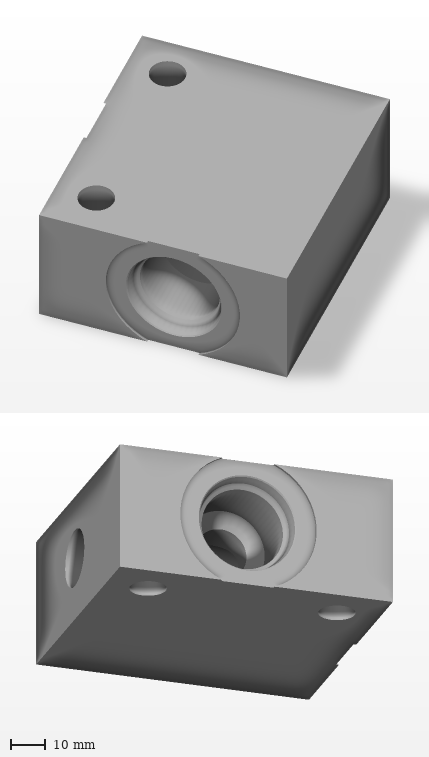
import cadquery as cq
import math

LENGTH_X = 76.2
LENGTH_Y = 82.55
HEIGHT = 38.1
MID_Z = HEIGHT / 2

MOUNT_DIAMETER = 10.8
MOUNT_INSET = 12.7

FRONT_PORT_X = 41.1
SIDE_PORT_Y = 43.7
SPOTFACE_DIAMETER = 41.3
SPOTFACE_DEPTH = 0.8
MOUTH_DIAMETER = 29.55
LIP_DIAMETER = 28.9
LIP_DEPTH = 0.3
SEAT_DIAMETER = 27.4
SEAT_DEPTH = 3.5
THREAD_DIAMETER = 24.6
THREAD_START = 4.9
THREAD_DEPTH = 21.5
DRILL_POINT_ANGLE = 118

FRONT_BORE_DIAMETER = 17.3
SIDE_BORE_DIAMETER = 15.4


def port_cutter(bore_diameter, bore_depth):
    """Stepped port around the Z axis, entering at Z = 0 and running towards +Z."""
    cone_height = (THREAD_DIAMETER - bore_diameter) / 2 / math.tan(math.radians(DRILL_POINT_ANGLE / 2))
    stations = [
        (MOUTH_DIAMETER, 0),
        (LIP_DIAMETER, LIP_DEPTH),
        (SEAT_DIAMETER, SEAT_DEPTH),
        (THREAD_DIAMETER, THREAD_START),
        (THREAD_DIAMETER, THREAD_DEPTH),
        (bore_diameter, THREAD_DEPTH + cone_height),
    ]
    profile = [(0, 0), (SPOTFACE_DIAMETER / 2, 0), (SPOTFACE_DIAMETER / 2, SPOTFACE_DEPTH)]
    profile += [(diameter / 2, SPOTFACE_DEPTH + depth) for diameter, depth in stations]
    profile += [(bore_diameter / 2, bore_depth), (0, bore_depth)]
    return cq.Workplane("XZ").polyline(profile).close().revolve(360, (0, 0), (0, 1))


block = cq.Workplane("XY").box(LENGTH_X, LENGTH_Y, HEIGHT, centered=False)

mount_holes = (
    cq.Workplane("XY")
    .pushPoints([(MOUNT_INSET, MOUNT_INSET), (MOUNT_INSET, LENGTH_Y - MOUNT_INSET)])
    .circle(MOUNT_DIAMETER / 2)
    .extrude(HEIGHT)
)

front_port = (
    port_cutter(FRONT_BORE_DIAMETER, LENGTH_Y)
    .rotate((0, 0, 0), (1, 0, 0), -90)
    .translate((FRONT_PORT_X, 0, MID_Z))
)

side_port = (
    port_cutter(SIDE_BORE_DIAMETER, FRONT_PORT_X)
    .rotate((0, 0, 0), (0, 1, 0), 90)
    .translate((0, SIDE_PORT_Y, MID_Z))
)

result = block.cut(mount_holes).cut(front_port).cut(side_port)